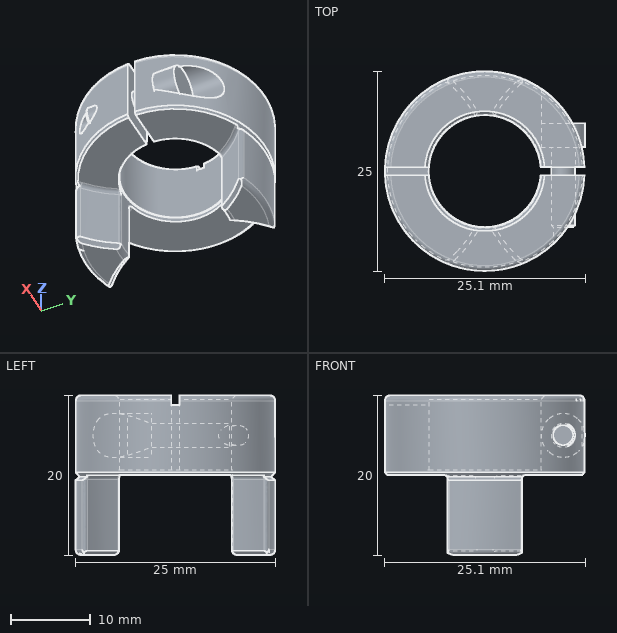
import cadquery as cq


outer_radius = 12.5
bore_radius = 7.0
ring_height = 10.0
top_fillet = 0.7
bore_top_chamfer = 0.5

relief_bore_radius = 7.1
relief_bore_top_z = 0.7

groove_depth = 0.5
groove_top_z = 0.35
groove_valley_z = -0.22
groove_bottom_z = -0.65

slot_width = 1.0
relief_depth = 1.2

jaw_length = 10.0
side_center_x = 13.98
side_radius = 14.51
side_centers = (-side_center_x, side_center_x)
jaw_edge_fillet = 0.4
jaw_root_fillet = 0.5
jaw_rim_fillet = 0.7
jaw_side_chamfer = 0.55

plate_width = 4 * outer_radius
plate_height = 1.0

screw_x = 9.8
screw_z = ring_height / 2
head_diameter = 5.5
head_height = 3.0
head_seat_y = 3.0
shank_diameter = 3.0
shank_length = 10.0
tip_chamfer = 0.25
core_diameter = 2.5


def tube(inner_radius, bottom_z, top_z):
    """Tube around Z with the outer radius of the hub."""
    base = cq.Workplane("XY", origin=(0, 0, bottom_z))
    return base.circle(outer_radius).circle(inner_radius).extrude(top_z - bottom_z)


def make_ring():
    """Ring with a rounded top rim and chamfered bore mouth, relieved at the bottom."""
    smallest = cq.selectors.RadiusNthSelector(0)
    largest = cq.selectors.RadiusNthSelector(-1)
    ring = tube(bore_radius, 0, ring_height)
    ring = ring.faces(">Z").edges(largest).fillet(top_fillet)
    ring = ring.faces(">Z").edges(smallest).chamfer(bore_top_chamfer)
    relief_bore = cq.Workplane("XY").circle(relief_bore_radius).extrude(relief_bore_top_z)
    return ring.cut(relief_bore)


def make_jaw():
    """Jaw below the ring on the +Y side, with rounded corners, a filleted root and a beveled end."""
    half_space = cq.Workplane("XY").box(
        2 * outer_radius, outer_radius, 2 * jaw_length, centered=(True, False, True)
    )
    jaw = tube(relief_bore_radius, -jaw_length, 0).intersect(half_space)
    for center_x in side_centers:
        jaw = jaw.cut(cq.Workplane("XY").center(center_x, 0).circle(side_radius).extrude(-jaw_length))
    jaw = jaw.edges("|Z").fillet(jaw_edge_fillet)

    plate = cq.Workplane("XY").box(plate_width, plate_width, plate_height, centered=(True, True, False))
    jaw = plate.union(jaw).edges(jaw_root_selector()).fillet(jaw_root_fillet)

    for center_x in side_centers:
        jaw = jaw.cut(make_side_flare(center_x))

    envelope = tube(relief_bore_radius, -jaw_length, 0).faces("<Z").edges().fillet(jaw_rim_fillet)
    return jaw.intersect(envelope)


def jaw_root_selector():
    """Selects the edges at Z = 0 inside the plate outline."""
    reach = plate_width / 2 - 1
    return cq.selectors.BoxSelector((-reach, -reach, -0.1), (reach, reach, 0.1))


def make_side_flare(center_x):
    """Cone that chamfers one concave jaw side at the free end."""
    return (
        cq.Workplane("XY", origin=(center_x, 0, -jaw_length))
        .circle(side_radius + jaw_side_chamfer)
        .workplane(offset=jaw_side_chamfer)
        .circle(side_radius)
        .loft(ruled=True)
    )


def make_groove():
    """Ring of pointed section that cuts the V-groove."""
    return (
        cq.Workplane("XZ")
        .moveTo(outer_radius - groove_depth, groove_valley_z)
        .lineTo(outer_radius, groove_top_z)
        .lineTo(outer_radius + groove_depth, groove_valley_z)
        .lineTo(outer_radius, groove_bottom_z)
        .close()
        .revolve(360, (0, 0, 0), (0, 1, 0))
    )


def y_cylinder(diameter, start_y, end_y):
    """Cylinder on the screw axis between two Y positions."""
    plane = cq.Plane(origin=(screw_x, start_y, screw_z), xDir=(1, 0, 0), normal=(0, 1, 0))
    return cq.Workplane(plane).circle(diameter / 2).extrude(end_y - start_y)


def make_screw():
    tip_y = head_seat_y - shank_length
    shank = y_cylinder(shank_diameter, tip_y, head_seat_y).faces("<Y").chamfer(tip_chamfer)
    head = y_cylinder(head_diameter, head_seat_y, head_seat_y + head_height)
    return shank.union(head)


def make_hub(screw):
    jaw = make_jaw()
    hub = make_ring().union(jaw).union(jaw.mirror("XZ"))
    hub = hub.cut(make_groove())
    clamp_slot = cq.Workplane("XY").box(
        outer_radius, slot_width, ring_height, centered=(False, True, False)
    )
    relief_slot = (
        cq.Workplane("XY")
        .box(outer_radius, slot_width, relief_depth, centered=(False, True, False))
        .translate((-outer_radius, 0, ring_height - relief_depth))
    )
    hub = hub.cut(clamp_slot).cut(relief_slot)
    core_hole = y_cylinder(core_diameter, -outer_radius, 0)
    counterbore = y_cylinder(head_diameter, head_seat_y, outer_radius)
    return hub.cut(core_hole).cut(counterbore).cut(screw)


screw = make_screw()
hub = make_hub(screw)
result = cq.Compound.makeCompound([hub.val(), screw.val()])